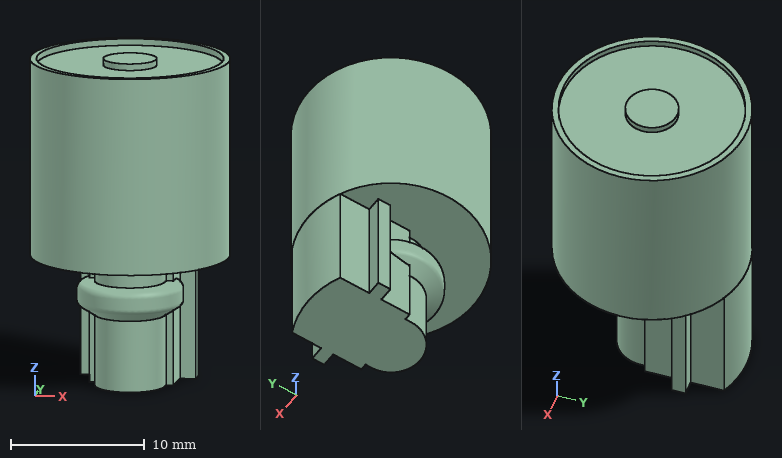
import cadquery as cq
import math

head_radius = 7.5
head_bottom = 10.0
head_top = 25.0
rim_width = 0.5
recess_depth = 0.5
boss_radius = 2.0

nose_radius = 2.65
web_half_width = 3.2
web_front = 0.5
wing_half_width = 4.4
wing_front = 3.05
wing_back = 4.15

collar_radius = 4.0
collar_top = 8.0
collar_top_fillet = 0.6
band_bottom = 6.6
collar_lower_fillet = 0.5
cone_angle = math.radians(33.0)


def cylinder(radius, bottom, top):
    """Vertical cylinder on the common axis."""
    return cq.Workplane("XY").workplane(offset=bottom).circle(radius).extrude(top - bottom)


def post_block(half_width, front, back):
    """Block over the full post height, symmetric in X, reaching from front to back in Y."""
    return (
        cq.Workplane("XY")
        .center(0, (front + back) / 2)
        .rect(2 * half_width, back - front)
        .extrude(head_bottom)
    )


def make_head():
    """Round block with an annular recess between its rim and its central boss."""
    recess_floor = head_top - recess_depth
    recess = cylinder(head_radius - rim_width, recess_floor, head_top)
    boss = cylinder(boss_radius, recess_floor, head_top)
    return cylinder(head_radius, head_bottom, head_top).cut(recess.cut(boss))


def make_post():
    """Nose, web and wings as one solid; the back of the web follows the round head."""
    nose = cylinder(nose_radius, 0, head_bottom)
    neck = post_block(nose_radius, 0, web_front)
    web = post_block(web_half_width, web_front, head_radius)
    web = web.intersect(cylinder(head_radius, 0, head_bottom))
    wings = post_block(wing_half_width, wing_front, wing_back)
    return nose.union(neck).union(web).union(wings)


def make_collar(post):
    """Revolved collar, cut out to fit closely around the post."""

    def lower_fillet_point(normal_angle):
        """Point (radius, height) on the lower fillet where its normal dips by normal_angle."""
        return (
            collar_radius - collar_lower_fillet * (1 - math.cos(normal_angle)),
            band_bottom - collar_lower_fillet * math.sin(normal_angle),
        )

    fillet_sweep = math.pi / 2 - cone_angle
    cone_top_radius, cone_top = lower_fillet_point(fillet_sweep)
    cone_bottom = cone_top - (cone_top_radius - nose_radius) * math.tan(cone_angle)

    profile = (
        cq.Workplane("XZ")
        .moveTo(0, cone_bottom)
        .lineTo(nose_radius, cone_bottom)
        .lineTo(cone_top_radius, cone_top)
        .threePointArc(lower_fillet_point(fillet_sweep / 2), (collar_radius, band_bottom))
        .lineTo(collar_radius, collar_top - collar_top_fillet)
        .radiusArc((collar_radius - collar_top_fillet, collar_top), -collar_top_fillet)
        .lineTo(0, collar_top)
        .close()
    )
    return profile.revolve(360, (0, 0, 0), (0, 1, 0)).cut(post)


head = make_head()
post = make_post()
collar = make_collar(post)

bodies = [head, post, collar]
result = cq.Compound.makeCompound([body.solids().val() for body in bodies])